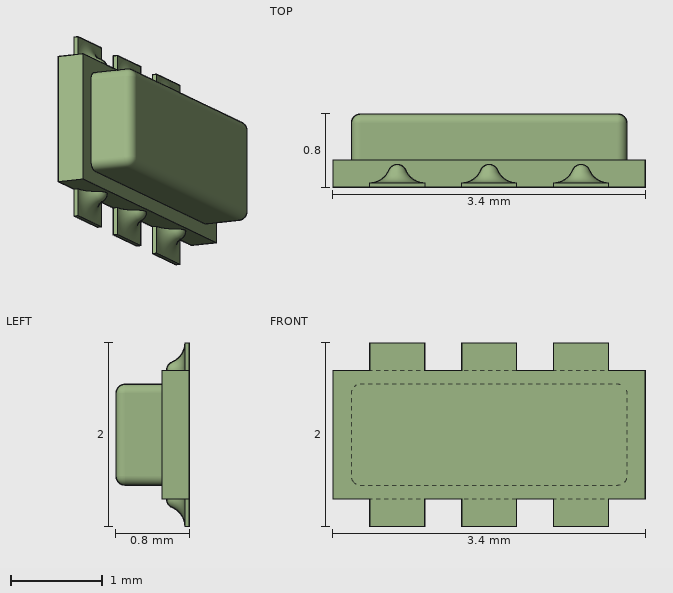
import cadquery as cq
import math

body_length = 3.4
body_width = 1.4
body_height = 0.3

lid_length = 3.0
lid_width = 1.1
lid_height = 0.5
lid_radius = 0.1

tabs_per_side = 3
tab_pitch = 1.0
tab_length = 0.6
tab_reach = 0.3
tab_thickness = 0.05

mound_height = 0.25
cap_radius = 0.1
skirt_reach = tab_length / 2


def box_on(length, height, width, base_y=0.0):
    """Box centred on X and Z that rises along +Y from base_y."""
    box = cq.Workplane("XY").box(length, height, width, centered=(True, False, True))
    return box.translate((0, base_y, 0))


def make_lid():
    lid = box_on(lid_length, lid_height, lid_width, body_height)
    return lid.edges("|Y or >Y").fillet(lid_radius)


def make_mound():
    """Full mound revolved about the Y axis, starting at the tab surface."""
    cap_center_y = mound_height - cap_radius
    cap_rise = cap_center_y - tab_thickness
    skirt_radius = (skirt_reach**2 + cap_rise**2 - cap_radius**2) / (2 * (cap_radius + cap_rise))
    skirt_center_y = tab_thickness + skirt_radius

    join_angle = math.atan2(skirt_center_y - cap_center_y, skirt_reach)
    join = (
        cap_radius * math.cos(join_angle),
        cap_center_y + cap_radius * math.sin(join_angle),
    )
    mid_angle = (join_angle + math.pi / 2) / 2
    cap_mid = (
        cap_radius * math.cos(mid_angle),
        cap_center_y + cap_radius * math.sin(mid_angle),
    )
    skirt_mid = (
        skirt_reach - skirt_radius * math.cos(mid_angle),
        skirt_center_y - skirt_radius * math.sin(mid_angle),
    )

    profile = (
        cq.Workplane("XY")
        .moveTo(0, tab_thickness)
        .lineTo(skirt_reach, tab_thickness)
        .threePointArc(skirt_mid, join)
        .threePointArc(cap_mid, (0, mound_height))
        .close()
    )
    return profile.revolve(360, (0, 0, 0), (0, 1, 0))


def make_terminals():
    """One strip per tab pair, crossing under the body, with a mound at each body side."""
    strip = box_on(tab_length, tab_thickness, body_width + 2 * tab_reach)
    mound = make_mound()
    for side in (-1, 1):
        strip = strip.union(mound.translate((0, 0, side * body_width / 2)))
    return strip


result = box_on(body_length, body_height, body_width).union(make_lid())
terminals = make_terminals()
for index in range(tabs_per_side):
    tab_x = (index - (tabs_per_side - 1) / 2) * tab_pitch
    result = result.union(terminals.translate((tab_x, 0, 0)))